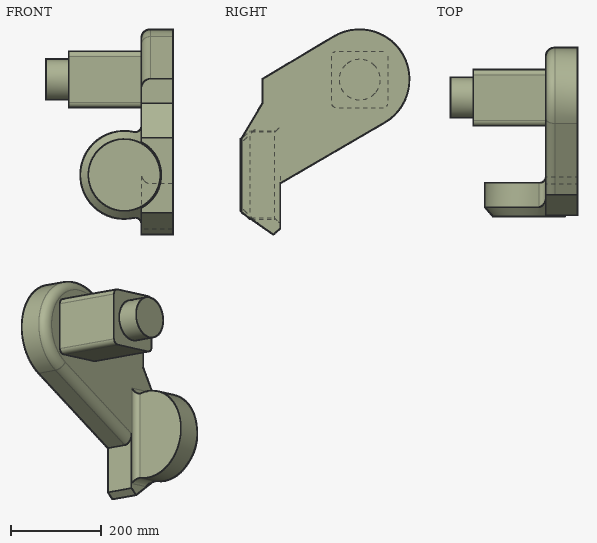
import cadquery as cq
import math


plate_thickness = 70.3
head_radius = 110.5
plate_fillet = 20.0
upper_slope = math.radians(30.8)
lower_slope = math.radians(30.2)
step_y = -214.0
step_bottom_z = -52.0
nose_y = -259.5
nose_top_z = -129.0
nose_bottom_z = -294.0
tip_y = -190.0
tip_z = -342.5
heel_y = -174.5
heel_bottom_z = -329.0

motor_side = 124.5
motor_length = 160.0
motor_corner_radius = 12.0
pin_diameter = 90.0
pin_length = 50.0

disc_x = -37.0
disc_z = -210.8
disc_radius = 97.5
disc_front_y = -262.5
disc_length = 75.0
chamfer_length = 21.0
chamfer_width = 18.0
disc_fillet = 12.5


def tangent_line_z(y, slope, side):
    """Height of a line falling toward -Y and touching the head from above (1) or below (-1)."""
    return y * math.tan(slope) + side * head_radius / math.cos(slope)


def tangent_point(slope, side):
    return (-side * head_radius * math.sin(slope), side * head_radius * math.cos(slope))


def make_plate():
    """Teardrop arm with a rounded inner rim and an angular lower end."""
    outline = (
        cq.Workplane("YZ")
        .moveTo(*tangent_point(lower_slope, -1))
        .threePointArc((head_radius, 0), tangent_point(upper_slope, 1))
        .lineTo(step_y, tangent_line_z(step_y, upper_slope, 1))
        .lineTo(step_y, step_bottom_z)
        .lineTo(nose_y, nose_top_z)
        .lineTo(nose_y, nose_bottom_z)
        .lineTo(tip_y, tip_z)
        .lineTo(heel_y, heel_bottom_z)
        .lineTo(heel_y, tangent_line_z(heel_y, lower_slope, -1))
        .close()
    )
    plate = outline.extrude(plate_thickness)

    upper_mid_y = (tangent_point(upper_slope, 1)[0] + step_y) / 2
    lower_mid_y = (tangent_point(lower_slope, -1)[0] + heel_y) / 2
    rim = plate.edges(cq.NearestToPointSelector((0, head_radius, 0)))
    rim = rim.add(plate.edges(cq.NearestToPointSelector(
        (0, upper_mid_y, tangent_line_z(upper_mid_y, upper_slope, 1)))))
    rim = rim.add(plate.edges(cq.NearestToPointSelector(
        (0, lower_mid_y, tangent_line_z(lower_mid_y, lower_slope, -1)))))
    return rim.fillet(plate_fillet)


def make_motor():
    """Square body with rounded corners and a round pin on its end."""
    body = (
        cq.Workplane("YZ")
        .rect(motor_side, motor_side)
        .extrude(-motor_length)
        .edges("|X")
        .fillet(motor_corner_radius)
    )
    pin = (
        cq.Workplane("YZ", origin=(-motor_length, 0, 0))
        .circle(pin_diameter / 2)
        .extrude(-pin_length)
    )
    return body.union(pin)


def make_disc():
    """Chamfered disc with a fillet where its side and back meet the plate."""
    disc_back_y = disc_front_y + disc_length
    disc = (
        cq.Workplane("XZ", origin=(disc_x, disc_front_y, disc_z))
        .circle(disc_radius)
        .extrude(-disc_length)
    )

    wall_size = 4 * disc_radius
    wall = (
        cq.Workplane("XY")
        .box(plate_thickness, wall_size, wall_size, centered=(False, False, True))
        .translate((0, disc_front_y, disc_z))
    )
    junction = cq.selectors.BoxSelector(
        (-disc_fillet / 2, disc_front_y + disc_length / 4, disc_z - disc_radius),
        (disc_fillet / 2, disc_back_y + disc_fillet, disc_z + disc_radius),
    )
    filleted = wall.union(disc).edges(junction).fillet(disc_fillet)
    disc = filleted.cut(wall).union(disc)

    cone_length = disc_length + disc_fillet
    front_radius = disc_radius - chamfer_width
    back_radius = front_radius + cone_length * chamfer_width / chamfer_length
    cone = (
        cq.Workplane("XY", origin=(disc_x, disc_front_y, disc_z))
        .polyline([(0, 0), (front_radius, 0), (back_radius, cone_length), (0, cone_length)])
        .close()
        .revolve(360, (0, 0, 0), (0, 1, 0))
    )
    return disc.intersect(cone)


result = make_plate().union(make_motor()).union(make_disc())